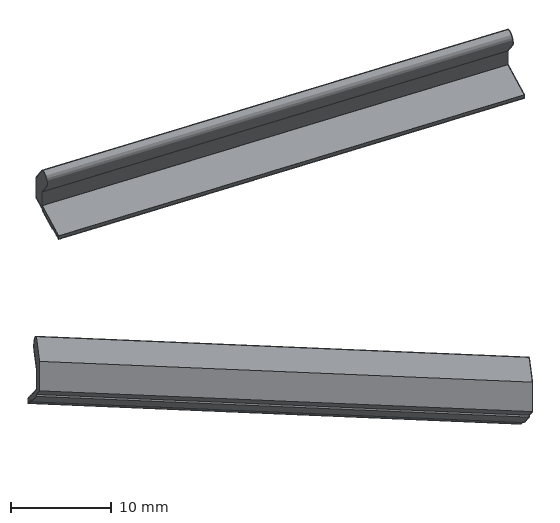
import cadquery as cq
import math

length = 50.0
width = 6.0
height = 6.2

wall = 1.65
flange_thickness = 0.5
pad_thickness = 0.2
flange_top = pad_thickness + flange_thickness
pad_left = 1.7
pad_right = 4.3
outer_bend_z = 3.2
lean = math.radians(30)

inner_bend_z = outer_bend_z - wall * math.tan(lean / 2)

along_x, along_z = math.sin(lean), math.cos(lean)
across_x, across_z = math.cos(lean), -math.sin(lean)

tip_radius = wall / 2
tip_z = height - tip_radius
leg_length = (tip_z - tip_radius * across_z - outer_bend_z) / along_z
tip_x = leg_length * along_x + tip_radius * across_x


def tip_point(along, across):
    """Point offset from the tip centre along and across the upper leg."""
    return (
        tip_x + along * along_x + across * across_x,
        tip_z + along * along_z + across * across_z,
    )


profile = (
    cq.Workplane("XZ", origin=(0, length / 2, 0))
    .moveTo(0, pad_thickness)
    .lineTo(0, outer_bend_z)
    .lineTo(*tip_point(0, -tip_radius))
    .threePointArc(tip_point(tip_radius, 0), tip_point(0, tip_radius))
    .lineTo(wall, inner_bend_z)
    .lineTo(wall, flange_top)
    .lineTo(width, flange_top)
    .lineTo(width, pad_thickness)
    .close()
)

pad = cq.Workplane("XY").box(
    pad_right - pad_left,
    length,
    pad_thickness,
    centered=(False, True, False),
).translate((pad_left, 0, 0))

result = profile.extrude(length).union(pad)